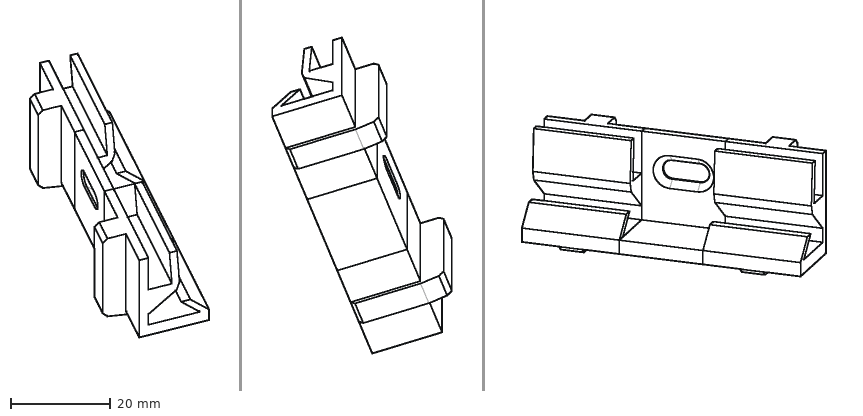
import cadquery as cq


total_length = 60.0
middle_length = 18.0
clip_length = (total_length - middle_length) / 2

base_depth = 15.0
wall_height = 22.0
wall_thickness = 2.0
base_thickness = 3.0

lip_width = 2.0
lip_overhang = 4.0
lip_top = 7.2

trough_floor = 13.0
trough_floor_width = 5.05
arm_thickness = 1.6
arm_lean = 0.55
arm_corner_inset = 0.6
arm_corner_height = 11.0
brace_foot_height = 6.0

rib_width = 5.0
rib_depth = 5.0
rib_drop = 0.95
rib_chamfer = 1.0
rib_front_slope_end = -0.2

slot_length = 10.0
slot_height = 4.0
slot_center_height = 14.0
slot_straight_depth = 0.5

countersink_angle = 45
countersink_depth = wall_thickness - slot_straight_depth


def extrude_section(points, length, center_x):
    """Extrude a closed (Y, Z) outline along X, centered on center_x."""
    return (
        cq.Workplane("YZ", origin=(center_x - length / 2, 0, 0))
        .polyline(points)
        .close()
        .extrude(length)
    )


def make_clip_section(center_x):
    """Wall, base, slanted lip and leaning arm of one clip."""
    lip_inner_foot = base_depth - lip_width
    trough_edge = wall_thickness + trough_floor_width
    arm_outer_foot = trough_edge + arm_thickness
    points = [
        (0, 0),
        (base_depth, 0),
        (base_depth, base_thickness),
        (base_depth - lip_overhang, lip_top),
        (lip_inner_foot - lip_overhang, lip_top),
        (lip_inner_foot, base_thickness),
        (wall_thickness, base_thickness),
        (wall_thickness, brace_foot_height),
        (arm_outer_foot - arm_corner_inset, arm_corner_height),
        (arm_outer_foot, trough_floor),
        (arm_outer_foot - arm_lean, wall_height),
        (trough_edge - arm_lean, wall_height),
        (trough_edge, trough_floor),
        (wall_thickness, trough_floor),
        (wall_thickness, wall_height),
        (0, wall_height),
    ]
    return extrude_section(points, clip_length, center_x)


def make_rib(center_x):
    """Rib that runs down the front of the wall and back under the base."""
    points = [
        (0, wall_height),
        (rib_chamfer - rib_depth, wall_height),
        (-rib_depth, wall_height - rib_chamfer),
        (-rib_depth, rib_chamfer),
        (rib_chamfer - rib_depth, rib_front_slope_end),
        (0, -rib_drop),
        (base_depth - rib_drop, -rib_drop),
        (base_depth, 0),
        (0, 0),
    ]
    return extrude_section(points, rib_width, center_x)


def make_clip(center_x):
    """One complete end clip."""
    return make_clip_section(center_x).union(make_rib(center_x))


def make_middle_bracket():
    """Plain L-shaped bracket between the clips, with a countersunk slot through its wall."""
    points = [
        (0, 0),
        (base_depth, 0),
        (base_depth, base_thickness),
        (wall_thickness, base_thickness),
        (wall_thickness, wall_height),
        (0, wall_height),
    ]
    bracket = extrude_section(points, middle_length, 0)
    slot = (
        cq.Workplane("XZ")
        .center(0, slot_center_height)
        .slot2D(slot_length, slot_height)
        .extrude(-wall_thickness)
    )
    countersink = (
        cq.Workplane("XZ", origin=(0, wall_thickness, 0))
        .center(0, slot_center_height)
        .slot2D(slot_length + 2 * countersink_depth, slot_height + 2 * countersink_depth)
        .extrude(countersink_depth, taper=countersink_angle)
    )
    return bracket.cut(slot).cut(countersink)


middle_bracket = make_middle_bracket()

clip_offset = (middle_length + clip_length) / 2
clips = [make_clip(side * clip_offset) for side in (-1, 1)]

result = cq.Compound.makeCompound(
    [middle_bracket.val()] + [clip.val() for clip in clips]
)